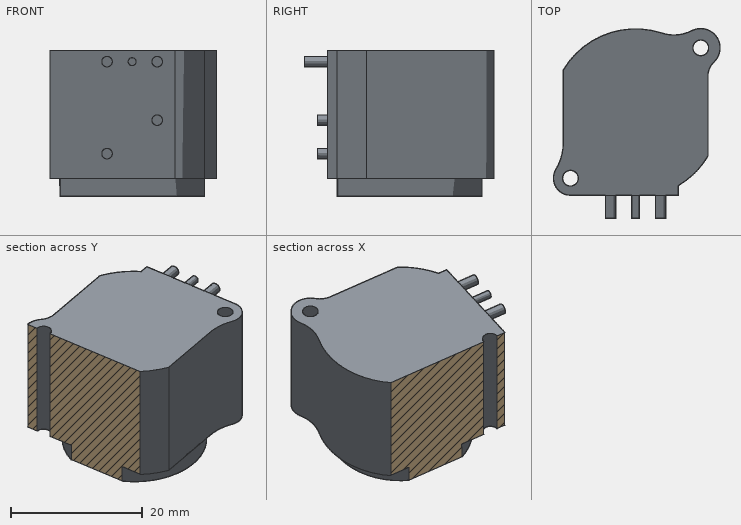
import cadquery as cq
import math

body_height = 19.5
body_radius = 12.8
flat_x = 11.0
pin_face_y = -12.5
pin_face_end_x = 6.5

boss_radius = 11.0
boss_height = 2.7

bolt_circle_diameter = 28.0
ear_offset = bolt_circle_diameter / 2 / math.sqrt(2)
ear_hole_diameter = 2.35
front_ear = (-ear_offset, -ear_offset)
rear_ear = (ear_offset, ear_offset)
front_ear_radius = -pin_face_y - ear_offset
rear_ear_radius = 2.95

front_blend_radius = 8.0
side_blend_radius = 3.0
rear_blend_radius = 6.0

pin_pitch = 2.54
pin_x = 1.5 * pin_pitch
pin_diameter = 1.6
key_pin_diameter = 1.2
long_pin_length = 3.5
short_pin_length = 1.5
top_pin_z = 7 * pin_pitch
middle_pin_z = 3.5 * pin_pitch
bottom_pin_z = 1.5 * pin_pitch
pins = [
    (-pin_x, top_pin_z, pin_diameter, long_pin_length),
    (0, top_pin_z, key_pin_diameter, long_pin_length),
    (pin_x, top_pin_z, pin_diameter, long_pin_length),
    (pin_x, middle_pin_z, pin_diameter, short_pin_length),
    (-pin_x, bottom_pin_z, pin_diameter, short_pin_length),
]


def point_towards(start, target, distance):
    """Point at a distance from start on the line to target."""
    span = math.dist(start, target)
    return tuple(s + (t - s) * distance / span for s, t in zip(start, target))


def arc_middle(center, radius, start, end):
    """Middle point of the shorter arc between two points on a circle."""
    chord_middle = ((start[0] + end[0]) / 2, (start[1] + end[1]) / 2)
    return point_towards(center, chord_middle, radius)


def circle_height(x):
    """Height of the body circle above the X axis at a given x."""
    return math.sqrt(body_radius**2 - x**2)


def flat_blend_center(ear, ear_radius, blend_radius):
    """Center of the blend that touches an ear and the flat next to it."""
    side = math.copysign(1, ear[0])
    x = side * (flat_x + blend_radius)
    rise = math.sqrt((ear_radius + blend_radius)**2 - (x - ear[0])**2)
    return (x, ear[1] - side * rise)


def rear_blend_center():
    """Center of the blend that touches the body circle and the rear ear."""
    from_axis = body_radius + rear_blend_radius
    from_ear = rear_ear_radius + rear_blend_radius
    ear_distance = math.hypot(*rear_ear)
    cosine = (from_axis**2 + ear_distance**2 - from_ear**2) / (2 * from_axis * ear_distance)
    angle = math.atan2(rear_ear[1], rear_ear[0]) + math.acos(cosine)
    return (from_axis * math.cos(angle), from_axis * math.sin(angle))


def make_housing():
    axis = (0, 0)
    front_blend = flat_blend_center(front_ear, front_ear_radius, front_blend_radius)
    side_blend = flat_blend_center(rear_ear, rear_ear_radius, side_blend_radius)
    rear_blend = rear_blend_center()

    pin_face_start = (front_ear[0], pin_face_y)
    pin_face_end = (pin_face_end_x, pin_face_y)
    corner_arc_start = (pin_face_end_x, -circle_height(pin_face_end_x))
    corner_arc_end = (flat_x, -circle_height(flat_x))
    side_blend_start = (flat_x, side_blend[1])
    side_blend_end = point_towards(rear_ear, side_blend, rear_ear_radius)
    rear_blend_start = point_towards(rear_ear, rear_blend, rear_ear_radius)
    rear_blend_end = point_towards(axis, rear_blend, body_radius)
    rear_arc_end = (-flat_x, circle_height(flat_x))
    front_blend_start = (-flat_x, front_blend[1])
    front_blend_end = point_towards(front_ear, front_blend, front_ear_radius)

    def arc(center, radius, start, end):
        return arc_middle(center, radius, start, end), end

    outline = (
        cq.Workplane("XY")
        .moveTo(*pin_face_start)
        .lineTo(*pin_face_end)
        .lineTo(*corner_arc_start)
        .threePointArc(*arc(axis, body_radius, corner_arc_start, corner_arc_end))
        .lineTo(*side_blend_start)
        .threePointArc(*arc(side_blend, side_blend_radius, side_blend_start, side_blend_end))
        .threePointArc(*arc(rear_ear, rear_ear_radius, side_blend_end, rear_blend_start))
        .threePointArc(*arc(rear_blend, rear_blend_radius, rear_blend_start, rear_blend_end))
        .threePointArc(*arc(axis, body_radius, rear_blend_end, rear_arc_end))
        .lineTo(*front_blend_start)
        .threePointArc(*arc(front_blend, front_blend_radius, front_blend_start, front_blend_end))
        .threePointArc(*arc(front_ear, front_ear_radius, front_blend_end, pin_face_start))
        .close()
    )
    return outline.extrude(body_height)


def make_boss():
    return cq.Workplane("XY").circle(boss_radius).extrude(-boss_height)


def make_ear_holes():
    centers = cq.Workplane("XY").pushPoints([front_ear, rear_ear])
    return centers.circle(ear_hole_diameter / 2).extrude(body_height)


def make_pin(x, z, diameter, length):
    pin_face = cq.Workplane("XZ", origin=(x, pin_face_y, z))
    return pin_face.circle(diameter / 2).extrude(length)


result = make_housing().cut(make_ear_holes()).union(make_boss())
for pin in pins:
    result = result.union(make_pin(*pin))